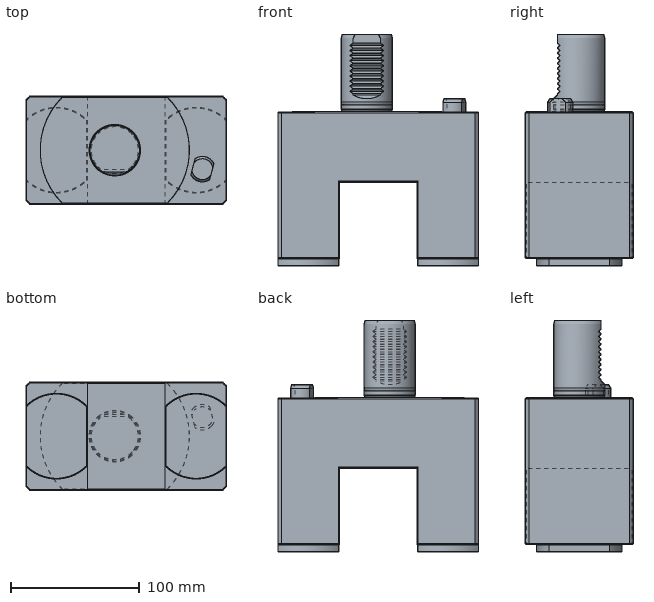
import cadquery as cq
import math


block_length = 156.0
block_width = 84.0
shank_to_left_side = 69.1
block_center_x = block_length / 2 - shank_to_left_side
corner_chamfer = 3.0
top_chamfer = 1.0
bottom_chamfer = 0.5

total_height = 180.0
shank_height = 60.0
foot_height = 6.0
foot_bottom_z = shank_height - total_height
block_bottom_z = foot_bottom_z + foot_height
block_height = -block_bottom_z

face_radius = 58.0
face_rise = 0.5

slot_width = 60.0
slot_clearance = 65.0
slot_top_z = foot_bottom_z + slot_clearance
slot_chamfer = 1.0

leg_width = (block_length - slot_width) / 2
foot_radius = 33.3
foot_inner_inset = 0.5
foot_length = leg_width - foot_inner_inset
foot_chamfer = 0.5

shank_radius = 20.0
shank_tip_chamfer_height = 3.0
shank_tip_chamfer_depth = shank_tip_chamfer_height * math.tan(math.radians(15))
neck_radius = 39.0 / 2
neck_height = 1.0
neck_cone_height = 0.9

flat_distance = 17.0
flat_bottom_z = 13.0
tooth_count = 10
tooth_pitch = 4.0
tooth_depth = 1.8
first_tooth_z = 15.7

ring_thickness = 2.5
ring_radius = ring_thickness / 2
ring_center_z = 6.3
groove_radius = 36.5 / 2

pin_x = 68.0
pin_y = -14.8
pin_radius = 9.9
pin_turn = -15
pin_flat_width = 15.1
pin_height = 10.0
pin_chamfer_height = 3.0
pin_chamfer_depth = pin_chamfer_height * math.tan(math.radians(30))


def make_block():
    """Block with chamfered edges; its top is lowered outside the round face."""
    block = (
        cq.Workplane("XY", origin=(block_center_x, 0, block_bottom_z))
        .rect(block_length, block_width)
        .extrude(block_height)
        .edges("|Z").chamfer(corner_chamfer)
        .faces(">Z").edges().chamfer(top_chamfer)
        .faces("<Z").edges().chamfer(bottom_chamfer)
    )
    lowered_top = (
        cq.Workplane("XY", origin=(0, 0, -face_rise))
        .rect(2 * block_length, 2 * block_width)
        .circle(face_radius)
        .extrude(face_rise)
    )
    return block.cut(lowered_top)


def make_slot():
    """Slot through the block along Y, flared at both of its mouths."""
    slot_height = slot_top_z - block_bottom_z
    slot = (
        cq.Workplane("XY", origin=(block_center_x, 0, block_bottom_z))
        .rect(slot_width, block_width)
        .extrude(slot_height)
    )
    for side in (-1, 1):
        mouth = (
            cq.Workplane("XZ", origin=(block_center_x, side * block_width / 2, block_bottom_z))
            .rect(slot_width + 2 * slot_chamfer, 2 * (slot_height + slot_chamfer))
            .workplane(offset=side * slot_chamfer)
            .rect(slot_width, 2 * slot_height)
            .loft(ruled=True)
        )
        slot = slot.union(mouth)
    return slot


def make_foot(side):
    """Disc under one leg (side -1 or 1), cut flat on its two X sides, with chamfered rims."""
    center_x = block_center_x + side * (block_length - foot_length) / 2
    base = cq.Workplane("XY", origin=(center_x, 0, foot_bottom_z))
    disc = base.circle(foot_radius).extrude(foot_height)
    leg_strip = base.rect(foot_length, 2 * foot_radius).extrude(foot_height)
    return disc.intersect(leg_strip).faces("<Z or >Z").edges().chamfer(foot_chamfer)


def make_shank():
    """Round shank with a tapered tip, a relieved neck and a groove for the seal ring."""
    profile = [
        (0, -face_rise),
        (neck_radius, -face_rise),
        (neck_radius, neck_height),
        (shank_radius, neck_height + neck_cone_height),
        (shank_radius, ring_center_z - ring_radius),
        (groove_radius, ring_center_z - ring_radius),
        (groove_radius, ring_center_z + ring_radius),
        (shank_radius, ring_center_z + ring_radius),
        (shank_radius, shank_height - shank_tip_chamfer_height),
        (shank_radius - shank_tip_chamfer_depth, shank_height),
        (0, shank_height),
    ]
    return cq.Workplane("XZ").polyline(profile).close().revolve(360, (0, 0), (0, 1))


def make_shank_flat():
    """Cutter for the flat, which runs out at 45 degrees at its lower end."""
    depth = 2 * (shank_radius - flat_distance)
    profile = [
        (-flat_distance, flat_bottom_z),
        (-flat_distance - depth, flat_bottom_z - depth),
        (-flat_distance - depth, shank_height),
        (-flat_distance, shank_height),
    ]
    return cq.Workplane("YZ").polyline(profile).close().extrude(shank_radius, both=True)


def make_tooth_gap(index):
    """Cutter for one 90 degree V groove across the flat, reaching past the shank surface."""
    root_z = first_tooth_z + index * tooth_pitch
    profile = [
        (-flat_distance + tooth_depth, root_z),
        (-flat_distance, root_z - tooth_depth),
        (-shank_radius, root_z - tooth_depth),
        (-shank_radius, root_z + tooth_depth),
        (-flat_distance, root_z + tooth_depth),
    ]
    return cq.Workplane("YZ").polyline(profile).close().extrude(shank_radius, both=True)


def make_pin():
    """Round locating pin with a tapered top and two flats."""
    profile = [
        (0, -face_rise),
        (pin_radius, -face_rise),
        (pin_radius, pin_height - pin_chamfer_height),
        (pin_radius - pin_chamfer_depth, pin_height),
        (0, pin_height),
    ]
    round_pin = cq.Workplane("XZ").polyline(profile).close().revolve(360, (0, 0), (0, 1))
    flats = cq.Workplane("XY", origin=(0, 0, -face_rise)).rect(pin_flat_width, 2 * pin_radius)
    pin = round_pin.intersect(flats.extrude(pin_height + face_rise))
    return pin.rotate((0, 0, 0), (0, 0, 1), pin_turn).translate((pin_x, pin_y, 0))


def make_holder():
    """Tool holder body: block, feet, toothed shank and pin in one piece."""
    shank = make_shank().cut(make_shank_flat())
    for index in range(tooth_count):
        shank = shank.cut(make_tooth_gap(index))
    holder = make_block().cut(make_slot()).union(shank).union(make_pin())
    for side in (-1, 1):
        holder = holder.union(make_foot(side))
    return holder


def make_seal_ring():
    """Seal ring seated on the groove floor, with a half-round outer side level with the shank."""
    round_start = shank_radius - ring_radius
    return (
        cq.Workplane("XZ")
        .moveTo(groove_radius, ring_center_z - ring_radius)
        .lineTo(round_start, ring_center_z - ring_radius)
        .threePointArc((shank_radius, ring_center_z), (round_start, ring_center_z + ring_radius))
        .lineTo(groove_radius, ring_center_z + ring_radius)
        .close()
        .revolve(360, (0, 0), (0, 1))
    )


holder = make_holder()
seal_ring = make_seal_ring()

result = cq.Compound.makeCompound([holder.val(), seal_ring.val()])